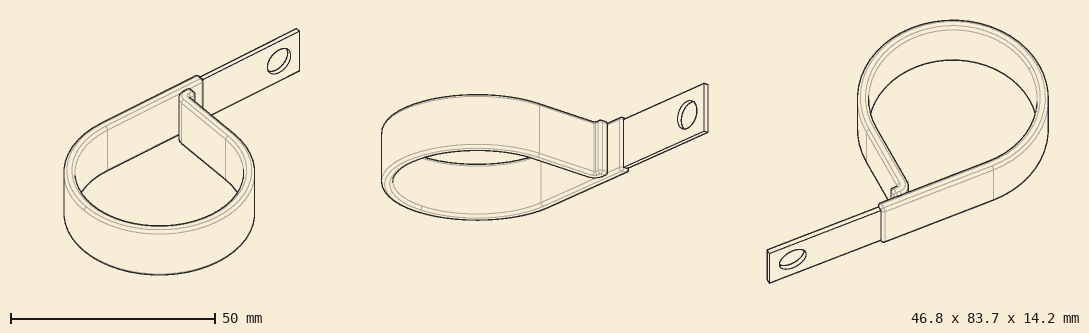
import cadquery as cq
import math

loop_diameter = 46.8
total_length = 83.7
band_width = 14.2
band_thickness = 2.8
edge_round = 0.75
sleeve_end_y = 30.15
tail_end_y = 25.45
bend_inner_radius = 0.25
hole_diameter = 7.2
hole_end_distance = 6.4

outer_radius = loop_diameter / 2
inner_radius = outer_radius - band_thickness
bend_outer_radius = bend_inner_radius + band_thickness
strip_end_y = total_length - outer_radius
strip_thickness = band_thickness - 2 * edge_round
strip_width = band_width - 2 * edge_round
band_middle_x = -outer_radius + band_thickness / 2

DIAGONAL = math.sqrt(0.5)


def rounded_band(outline, end_x, end_y):
    """Extrude a band about Z = 0 and round its rims and free end, leaving the joint on X = 0 sharp."""
    band = outline.close().extrude(band_width / 2, both=True)
    joint = band.faces(cq.selectors.NearestToPointSelector((0, -outer_radius + band_thickness / 2, 0)))
    free_end = band.faces(cq.selectors.NearestToPointSelector((end_x, end_y, 0)))
    rims = band.faces("|Z").edges()
    rounded_edges = [
        edge for edge in rims.vals() if not any(edge.isSame(other) for other in joint.edges().vals())
    ]
    rounded_edges += free_end.edges("|Z").vals()
    return band.newObject(rounded_edges).fillet(edge_round)


def long_leg():
    """Straight sleeve that runs into the first quarter of the loop."""
    outline = (
        cq.Workplane("XY")
        .moveTo(-outer_radius, sleeve_end_y)
        .lineTo(-outer_radius, 0)
        .radiusArc((0, -outer_radius), -outer_radius)
        .lineTo(0, -inner_radius)
        .radiusArc((-inner_radius, 0), inner_radius)
        .lineTo(-inner_radius, sleeve_end_y)
    )
    return rounded_band(outline, band_middle_x, sleeve_end_y)


def hooked_leg():
    """Other half of the loop, its straight leg, and the tail turned up against the sleeve."""
    tail_inner_x = -inner_radius
    tail_outer_x = tail_inner_x + band_thickness
    bend_x = tail_outer_x + bend_inner_radius
    bend_y = outer_radius + bend_inner_radius
    outline = (
        cq.Workplane("XY")
        .moveTo(0, -outer_radius)
        .threePointArc((outer_radius, 0), (0, outer_radius))
        .lineTo(bend_x, outer_radius)
        .threePointArc(
            (bend_x - bend_inner_radius * DIAGONAL, bend_y - bend_inner_radius * DIAGONAL),
            (tail_outer_x, bend_y),
        )
        .lineTo(tail_outer_x, tail_end_y)
        .lineTo(tail_inner_x, tail_end_y)
        .lineTo(tail_inner_x, bend_y)
        .threePointArc(
            (bend_x - bend_outer_radius * DIAGONAL, bend_y - bend_outer_radius * DIAGONAL),
            (bend_x, inner_radius),
        )
        .lineTo(0, inner_radius)
        .threePointArc((inner_radius, 0), (0, -inner_radius))
    )
    return rounded_band(outline, tail_inner_x + band_thickness / 2, tail_end_y)


def mounting_strip():
    """Thin strip that runs inside the sleeve and ends in a bolt hole."""
    strip = cq.Workplane("XY").box(
        strip_thickness, strip_end_y, strip_width
    ).translate((band_middle_x, strip_end_y / 2, 0))
    hole = (
        cq.Workplane("YZ")
        .center(strip_end_y - hole_end_distance, 0)
        .circle(hole_diameter / 2)
        .extrude(loop_diameter, both=True)
    )
    return strip.cut(hole)


result = long_leg().union(hooked_leg()).union(mounting_strip())